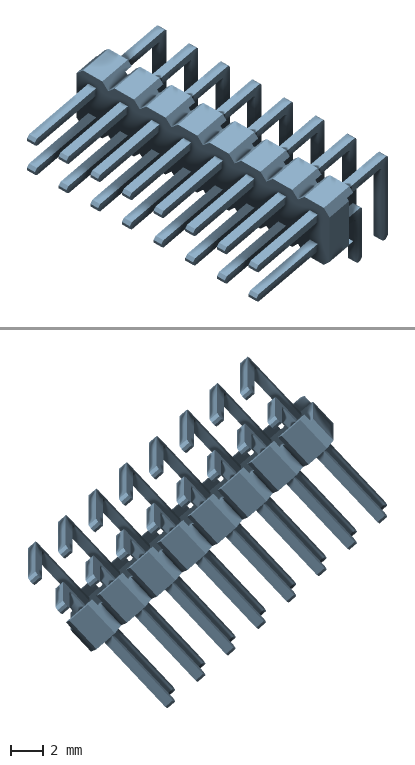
import cadquery as cq
import math

columns = 8
pitch = 2.55
housing_length = columns * pitch
housing_height = 4.95
housing_depth = 2.5
notch_depth = 0.55
notch_left_run = 0.47
notch_right_run = 0.53
channel_depth = 0.6
channel_height = 4.2

pin_size = 0.63
lower_row_z = -pitch / 2
upper_row_z = pitch / 2
front_reach = 6.02
total_depth = 12.9
total_height = 8.0
tip_chamfer = 0.2
bend_radius = 0.25

front_y = -housing_depth / 2
pin_front_y = front_y - front_reach
rear_y = pin_front_y + total_depth
pin_bottom_z = housing_height / 2 - total_height


def column_center(column):
    return (column + 0.5) * pitch - housing_length / 2


def housing_cell(column):
    """One octagonal cell of the housing, extruded along Y."""
    left = column_center(column) - pitch / 2
    right = left + pitch
    top = housing_height / 2
    shoulder = top - notch_depth
    outline = [
        (left, -shoulder),
        (left, shoulder),
        (left + notch_right_run, top),
        (right - notch_left_run, top),
        (right, shoulder),
        (right, -shoulder),
        (right - notch_left_run, -top),
        (left + notch_right_run, -top),
    ]
    return cq.Workplane("XZ", origin=(0, front_y, 0)).polyline(outline).close().extrude(-housing_depth)


def rear_channel():
    """Channel along the whole rear face, leaving a lip above and below."""
    center_y = housing_depth / 2 - channel_depth / 2
    return cq.Workplane("XY").box(housing_length, channel_depth, channel_height).translate((0, center_y, 0))


def bent_pin(column, row_z):
    """Square right-angle pin; the higher row bends down further back."""
    top = row_z + pin_size / 2
    bottom = top - pin_size
    leg_rear = rear_y - (upper_row_z - row_z)
    leg_front = leg_rear - pin_size
    arc_inset = bend_radius * (1 - math.sqrt(0.5))
    left = column_center(column) - pin_size / 2
    return (
        cq.Workplane("YZ", origin=(left, 0, 0))
        .moveTo(pin_front_y, top - tip_chamfer)
        .lineTo(pin_front_y + tip_chamfer, top)
        .lineTo(leg_rear - bend_radius, top)
        .threePointArc((leg_rear - arc_inset, top - arc_inset), (leg_rear, top - bend_radius))
        .lineTo(leg_rear, pin_bottom_z + tip_chamfer)
        .lineTo(leg_rear - tip_chamfer, pin_bottom_z)
        .lineTo(leg_front + tip_chamfer, pin_bottom_z)
        .lineTo(leg_front, pin_bottom_z + tip_chamfer)
        .lineTo(leg_front, bottom - bend_radius)
        .threePointArc((leg_front - arc_inset, bottom - arc_inset), (leg_front - bend_radius, bottom))
        .lineTo(pin_front_y + tip_chamfer, bottom)
        .lineTo(pin_front_y, bottom + tip_chamfer)
        .close()
        .extrude(pin_size)
    )


housing = housing_cell(0)
for column in range(1, columns):
    housing = housing.union(housing_cell(column))
result = housing.cut(rear_channel())

for column in range(columns):
    for row_z in (lower_row_z, upper_row_z):
        result = result.union(bent_pin(column, row_z))